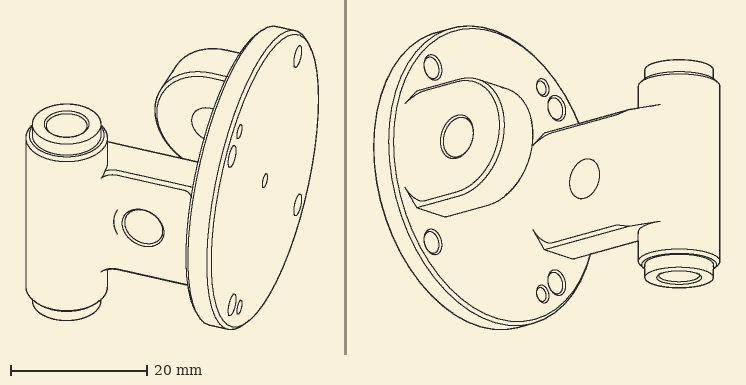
import cadquery as cq
import math

plate_diameter = 45.0
plate_thickness = 4.0
edge_chamfer = 0.5

bolt_circle_radius = 19.0
large_hole_diameter = 3.25
large_hole_angles = (45, 135, 225, 315)
small_hole_diameter = 2.1
small_hole_angles = (123.2, 236.8)
hole_chamfer = 0.3

arm_inner_y = 10.25
arm_outer_y = 17.47
arm_half_height = 9.0
root_fillet = 2.0
bevel_depth = edge_chamfer + root_fillet
pin_offset = 8.5
bore_diameter = 6.0
spotface_radius = 4.6

barrel_x = -20.35
barrel_y = -17.85
barrel_radius = 6.002
barrel_length = 32.0
collar_radius = 5.05
sleeve_length = 28.0
barrel_fillet = 2.0
slope_start_x = -14.9

overlap = 0.45
contact_sink = 0.001


def chamfered_bore(diameter, depth):
    """Cutter along +Z from Z = 0, with a countersunk mouth at Z = 0."""
    radius = diameter / 2
    mouth_radius = radius + hole_chamfer
    return (
        cq.Workplane("XZ")
        .polyline([
            (0, -overlap),
            (mouth_radius, -overlap),
            (mouth_radius, 0),
            (radius, hole_chamfer),
            (radius, depth),
            (0, depth),
        ])
        .close()
        .revolve(360, (0, 0, 0), (0, 1, 0))
    )


def make_plate():
    """Disc with bevelled rims, a centre hole and two sets of holes on one bolt circle."""
    plate = (
        cq.Workplane("YZ")
        .circle(plate_diameter / 2)
        .extrude(plate_thickness)
        .faces("<X or >X")
        .edges()
        .chamfer(edge_chamfer)
    )

    def drill(body, diameter, y, z):
        cutter = chamfered_bore(diameter, plate_thickness + overlap)
        return body.cut(cutter.rotate((0, 0, 0), (0, 1, 0), 90).translate((0, y, z)))

    plate = drill(plate, small_hole_diameter, 0, 0)
    for diameter, angles in (
        (large_hole_diameter, large_hole_angles),
        (small_hole_diameter, small_hole_angles),
    ):
        for angle in angles:
            y = bolt_circle_radius * math.cos(math.radians(angle))
            z = bolt_circle_radius * math.sin(math.radians(angle))
            plate = drill(plate, diameter, y, z)
    return plate


def arm_blank(tip_x):
    """Straight arm on the +Y side, flared by concave fillets where it meets the plate."""
    return (
        cq.Workplane("XY")
        .workplane(offset=-arm_half_height)
        .moveTo(tip_x, arm_inner_y)
        .lineTo(-root_fillet, arm_inner_y)
        .radiusArc((0, arm_inner_y - root_fillet), root_fillet)
        .lineTo(overlap, arm_inner_y - root_fillet)
        .lineTo(overlap, arm_outer_y + root_fillet)
        .lineTo(0, arm_outer_y + root_fillet)
        .radiusArc((-root_fillet, arm_outer_y), root_fillet)
        .lineTo(tip_x, arm_outer_y)
        .close()
        .extrude(2 * arm_half_height)
    )


def bevelled_envelope(outline):
    """Extrude an XZ outline over the flared arm width and bevel both ends at 45 degrees."""
    flare_start_y = arm_inner_y - root_fillet
    flare_end_y = arm_outer_y + root_fillet
    return (
        outline
        .extrude(flare_start_y - flare_end_y)
        .faces("<Y or >Y")
        .edges()
        .chamfer(bevel_depth)
        .translate((0, flare_start_y, 0))
    )


def make_round_arm():
    """Arm on the +Y side, with a rounded tip concentric with its pin hole."""
    outline = (
        cq.Workplane("XZ")
        .moveTo(bevel_depth + overlap, arm_half_height)
        .lineTo(-pin_offset, arm_half_height)
        .threePointArc((-pin_offset - arm_half_height, 0), (-pin_offset, -arm_half_height))
        .lineTo(bevel_depth + overlap, -arm_half_height)
        .close()
    )
    blank = arm_blank(-pin_offset - arm_half_height)
    return blank.intersect(bevelled_envelope(outline))


def make_barrel_arm():
    """Arm on the -Y side, with its inner face sloping down tangent to the barrel."""
    run = slope_start_x - barrel_x
    rise = -arm_inner_y - barrel_y
    tangent_angle = math.atan2(rise, run) + math.acos(barrel_radius / math.hypot(run, rise))
    tangent_point = (
        barrel_x + barrel_radius * math.cos(tangent_angle),
        barrel_y + barrel_radius * math.sin(tangent_angle),
    )
    sloped_end = (
        cq.Workplane("XY")
        .workplane(offset=-arm_half_height)
        .polyline([
            (slope_start_x, -arm_inner_y),
            tangent_point,
            (barrel_x, -arm_outer_y),
            (slope_start_x, -arm_outer_y),
        ])
        .close()
        .extrude(2 * arm_half_height)
    )
    outline_end_x = barrel_x - barrel_radius - bevel_depth
    outline_start_x = bevel_depth + overlap
    outline = (
        cq.Workplane("XZ")
        .center((outline_start_x + outline_end_x) / 2, 0)
        .rect(outline_start_x - outline_end_x, 2 * arm_half_height)
    )
    envelope = bevelled_envelope(outline).mirror("XZ")
    blank = arm_blank(slope_start_x).mirror("XZ").union(sloped_end)
    return blank.intersect(envelope)


def make_barrel_fillet():
    """Bevelled concave fillet between the outer face of the barrel arm and the barrel."""
    centre_y = -arm_outer_y - barrel_fillet
    contact_radius = barrel_radius - contact_sink
    centre_distance = contact_radius + barrel_fillet
    drop = centre_y - barrel_y
    centre_x = barrel_x + math.sqrt(centre_distance**2 - drop**2)
    barrel_share = contact_radius / centre_distance
    barrel_contact = (
        barrel_x + (centre_x - barrel_x) * barrel_share,
        barrel_y + drop * barrel_share,
    )
    web = (
        cq.Workplane("XY")
        .workplane(offset=-arm_half_height)
        .moveTo(centre_x, -arm_outer_y)
        .radiusArc(barrel_contact, -barrel_fillet)
        .lineTo(barrel_x, barrel_y)
        .lineTo(centre_x, -(arm_inner_y + arm_outer_y) / 2)
        .close()
        .extrude(2 * arm_half_height)
    )
    return web.edges("%CIRCLE").chamfer(edge_chamfer)


def make_barrel():
    """Barrel with bevelled rims and a narrower collar at each end."""
    sleeve = (
        cq.Workplane("XY")
        .workplane(offset=-sleeve_length / 2)
        .circle(barrel_radius)
        .extrude(sleeve_length)
        .faces("<Z or >Z")
        .edges()
        .chamfer(edge_chamfer)
    )
    collared_core = (
        cq.Workplane("XY")
        .workplane(offset=-barrel_length / 2)
        .circle(collar_radius)
        .extrude(barrel_length)
    )
    return sleeve.union(collared_core).translate((barrel_x, barrel_y, 0))


def barrel_bore(end):
    """Bore along the barrel, countersunk at the bottom (end = -1) or top (end = 1)."""
    half_length = barrel_length / 2
    bore = chamfered_bore(bore_diameter, half_length + overlap).translate((0, 0, -half_length))
    if end > 0:
        bore = bore.rotate((0, 0, 0), (1, 0, 0), 180)
    return bore.translate((barrel_x, barrel_y, 0))


def pin_bore(side):
    """Pin hole through the -Y (side = -1) or +Y (side = 1) arm, countersunk on its outer face."""
    return (
        chamfered_bore(bore_diameter, arm_outer_y)
        .rotate((0, 0, 0), (1, 0, 0), 90 * side)
        .translate((-pin_offset, arm_outer_y * side, 0))
    )


def spotface():
    """Clearance around the pin hole, level with the outer face of the barrel arm."""
    return (
        cq.Workplane("XZ", origin=(-pin_offset, -arm_outer_y, 0))
        .circle(spotface_radius)
        .extrude(barrel_fillet)
    )


result = (
    make_plate()
    .union(make_round_arm())
    .union(make_barrel_arm())
    .union(make_barrel_fillet())
    .cut(spotface())
    .union(make_barrel())
)
for direction in (-1, 1):
    result = result.cut(pin_bore(direction))
    result = result.cut(barrel_bore(direction))